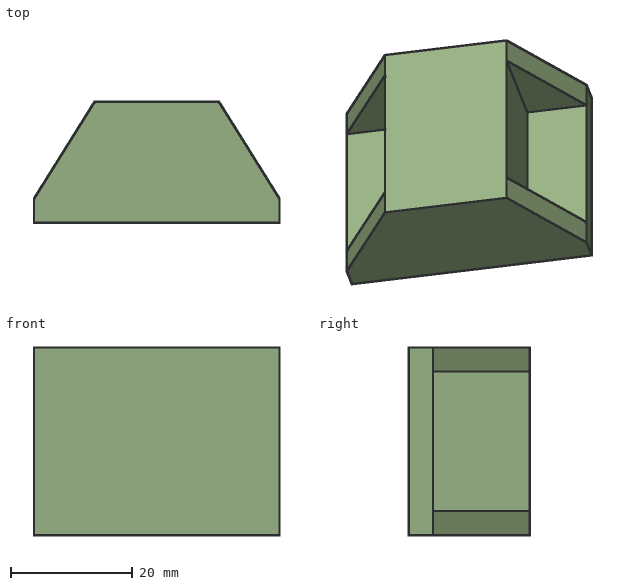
import cadquery as cq

width = 40.5
depth = 20.0
height = 31.0

front_edge = 4.0
side_inset = 10.0

plate_thickness = 4.0

half_width = width / 2
half_back_width = half_width - side_inset
front_y = -depth / 2
back_y = depth / 2
taper_start_y = front_y + front_edge
pocket_depth_y = back_y - taper_start_y
pocket_height = height - 2 * plate_thickness


def tapered_body():
    """Solid block with a trapezoidal outline, narrowing toward the back."""
    outline = [
        (-half_width, front_y),
        (half_width, front_y),
        (half_width, taper_start_y),
        (half_back_width, back_y),
        (-half_back_width, back_y),
        (-half_width, taper_start_y),
    ]
    return cq.Workplane("XY").polyline(outline).close().extrude(height / 2, both=True)


def side_pocket(side):
    """Box cut from one tapered side; side is -1 for left, 1 for right."""
    center_x = side * (half_back_width + side_inset / 2)
    center_y = taper_start_y + pocket_depth_y / 2
    return (
        cq.Workplane("XY")
        .box(side_inset, pocket_depth_y, pocket_height)
        .translate((center_x, center_y, 0))
    )


result = tapered_body()
for side in (-1, 1):
    result = result.cut(side_pocket(side))